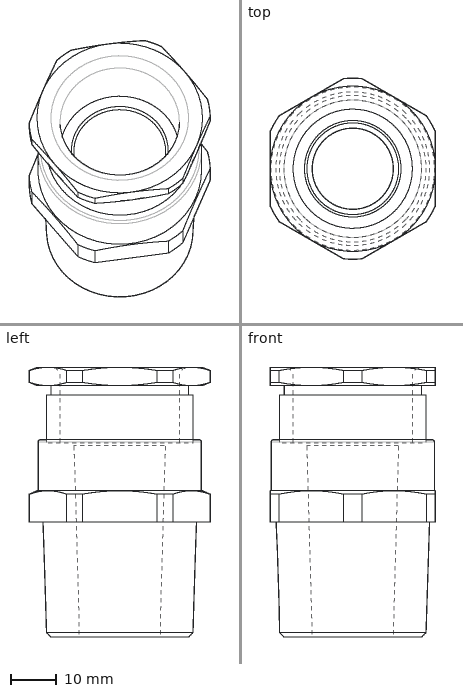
import cadquery as cq
import math


across_flats = 36.0
corner_radius = 19.75

body_hex_bottom = 25.0
body_hex_top = 31.95
seat_height = 42.25
collar_top = 43.0
shoulder_height = 52.75
nut_hex_bottom = 54.75
total_height = 58.75

collar_radius = 17.8
collar_fillet = 0.5
shank_top_radius = 16.75
shank_bottom_radius = 16.0
shank_chamfer = 1.0
body_hex_chamfer_drop = 0.8
bore_top_radius = 10.0
bore_bottom_radius = 8.8
bore_chamfer = 0.5

barrel_radius = 16.0
neck_radius = 15.0
nut_bore_radius = 13.0
mouth_fillet = neck_radius - nut_bore_radius
nut_hex_chamfer_drop = 0.7


def revolve_profile(profile):
    """Turn a closed (radius, height) outline about the Z axis."""
    return profile.close().revolve(360, (0, 0, 0), (0, 1, 0))


def hexagon(bottom, top):
    """Hexagonal prism with flats facing +X and -X."""
    across_corners = across_flats / math.cos(math.radians(30))
    prism = cq.Workplane("XY").workplane(offset=bottom).polygon(6, across_corners).extrude(top - bottom)
    return prism.rotate((0, 0, 0), (0, 0, 1), 30)


def chamfered_hexagon(bottom, top, inner_radius, bottom_drop, top_drop):
    """Hexagon with trimmed corners and conical chamfers that start at inner_radius on the end faces."""
    envelope = cq.Workplane("XZ").moveTo(0, bottom)
    if bottom_drop > 0:
        envelope = envelope.lineTo(inner_radius, bottom).lineTo(corner_radius, bottom + bottom_drop)
    else:
        envelope = envelope.lineTo(corner_radius, bottom)
    envelope = envelope.lineTo(corner_radius, top - top_drop).lineTo(inner_radius, top).lineTo(0, top)
    return hexagon(bottom, top).intersect(revolve_profile(envelope))


def make_body():
    """Tapered shank, hexagon and collar, with a seat for the nut and a tapered through bore."""
    shank = revolve_profile(
        cq.Workplane("XZ")
        .moveTo(0, 0)
        .lineTo(shank_bottom_radius - shank_chamfer, 0)
        .lineTo(shank_bottom_radius, shank_chamfer)
        .lineTo(shank_top_radius, body_hex_bottom)
        .lineTo(0, body_hex_bottom)
    )
    hex_section = chamfered_hexagon(
        body_hex_bottom, body_hex_top, collar_radius, bottom_drop=0, top_drop=body_hex_chamfer_drop
    )
    collar = (
        cq.Workplane("XY")
        .workplane(offset=body_hex_bottom)
        .circle(collar_radius)
        .extrude(collar_top - body_hex_bottom)
        .faces(">Z")
        .edges()
        .fillet(collar_fillet)
    )
    cavity = revolve_profile(
        cq.Workplane("XZ")
        .moveTo(0, 0)
        .lineTo(bore_bottom_radius, 0)
        .lineTo(bore_top_radius, seat_height - bore_chamfer)
        .lineTo(bore_top_radius + bore_chamfer, seat_height)
        .lineTo(barrel_radius, seat_height)
        .lineTo(barrel_radius, collar_top)
        .lineTo(0, collar_top)
    )
    return shank.union(hex_section).union(collar).cut(cavity)


def make_nut():
    """Barrel, narrower neck and hexagonal head, with a through bore rounded at the mouth."""
    barrel = (
        cq.Workplane("XY")
        .workplane(offset=seat_height)
        .circle(barrel_radius)
        .extrude(shoulder_height - seat_height)
    )
    neck = (
        cq.Workplane("XY")
        .workplane(offset=shoulder_height)
        .circle(neck_radius)
        .extrude(nut_hex_bottom - shoulder_height)
    )
    head = chamfered_hexagon(
        nut_hex_bottom,
        total_height,
        across_flats / 2,
        bottom_drop=nut_hex_chamfer_drop,
        top_drop=nut_hex_chamfer_drop,
    )
    bore = revolve_profile(
        cq.Workplane("XZ")
        .moveTo(0, seat_height)
        .lineTo(nut_bore_radius, seat_height)
        .lineTo(nut_bore_radius, total_height - mouth_fillet)
        .radiusArc((nut_bore_radius + mouth_fillet, total_height), mouth_fillet)
        .lineTo(0, total_height)
    )
    return barrel.union(neck).union(head).cut(bore)


body = make_body()
nut = make_nut()

result = cq.Compound.makeCompound([body.val(), nut.val()])